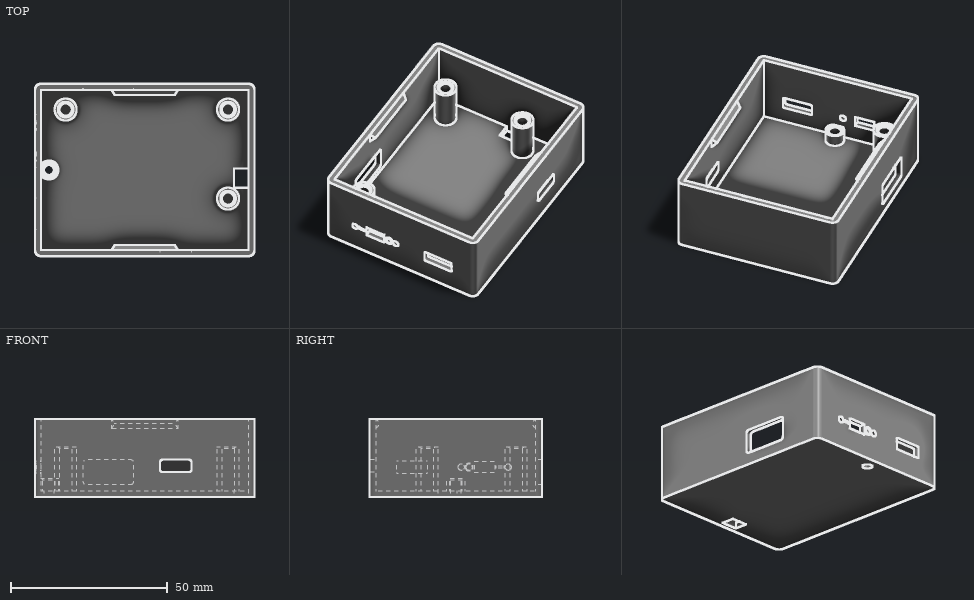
import cadquery as cq

length = 70.0
width = 55.0
height = 25.0
wall = 2.0
floor = 2.0
corner_radius = 2.0

inner_length = length - 2 * wall
inner_width = width - 2 * wall
inner_x = inner_length / 2
inner_y = inner_width / 2

post_diameter = 7.0
post_top = 16.0
left_post_x = -25.2
right_post_x = 26.5
back_post_y = 19.25
front_post_y = -9.1
post_places = [
    (left_post_x, back_post_y),
    (right_post_x, back_post_y),
    (right_post_x, front_post_y),
]
bore_diameter = 4.0
bore_chamfer = 0.5

boss_diameter = 6.0
boss_top = 6.0
boss_place = (-30.5, 0)
screw_hole_diameter = 3.2

ridge_length = 21.15
ridge_depth = 1.55
ridge_height = 2 * ridge_depth
ridge_end_taper = 1.0

window_top = 12.0
front_window_length = 10.15
front_window_height = 4.0
front_window_x = 9.9
front_window_radius = 1.0
back_window_length = 16.0
back_window_height = 8.0
back_window_right = -3.6
back_window_radius = 1.0

end_opening_z = 9.6
charge_length = 10.0
charge_height = 4.0
charge_y = -13.9
charge_radius = 0.5
switch_length = 6.6
switch_height = 3.5
switch_y = 9.25
switch_screw_diameter = 2.0
switch_screw_spacing = 15.0

engraving_depth = 0.5
ring_outer_diameter = 2.6
ring_inner_diameter = 2.0
ring_y = 4.3
bar_length = 2.6
bar_height = 0.55
bar_y = 14.1

floor_slot_length = 4.5
floor_slot_width = 6.0
floor_slot_y = -2.6


def make_shell():
    body = cq.Workplane("XY").box(length, width, height, centered=(True, True, False))
    body = body.edges("|Z").fillet(corner_radius)
    cavity = cq.Workplane("XY").workplane(offset=floor).rect(inner_length, inner_width).extrude(height)
    return body.cut(cavity)


def make_pillar(place, diameter, top):
    """Cylinder on the floor with a chamfered bore that stops at the floor surface."""
    pillar = cq.Workplane("XY", origin=(*place, 0)).circle(diameter / 2).extrude(top)
    bore = cq.Workplane("XY", origin=(*place, floor)).circle(bore_diameter / 2).extrude(top - floor)
    mouth = (
        cq.Workplane("XY", origin=(*place, top - bore_chamfer))
        .circle(bore_diameter / 2)
        .workplane(offset=bore_chamfer)
        .circle(bore_diameter / 2 + bore_chamfer)
        .loft()
    )
    return pillar.cut(bore).cut(mouth)


def make_back_ridge():
    """Triangular ridge on the back wall whose ends taper towards its tip."""
    tip_y = inner_y - ridge_depth
    profile = (
        cq.Workplane("YZ", origin=(-ridge_length / 2, 0, 0))
        .moveTo(inner_y, height)
        .lineTo(tip_y, height - ridge_height / 2)
        .lineTo(inner_y, height - ridge_height)
        .close()
        .extrude(ridge_length)
    )
    half_base = ridge_length / 2
    half_tip = half_base - ridge_end_taper
    plan = (
        cq.Workplane("XY")
        .polyline([(-half_base, inner_y), (half_base, inner_y), (half_tip, tip_y), (-half_tip, tip_y)])
        .close()
        .extrude(height)
    )
    return profile.intersect(plan)


def long_wall_window(x, y, size_x, size_z, radius):
    """Cutter with rounded corners through a long wall whose middle is at y."""
    cutter = cq.Workplane("XY").box(size_x, 2 * wall, size_z).edges("|Y").fillet(radius)
    return cutter.translate((x, y, window_top - size_z / 2))


def end_wall_block(y, size_y, size_z, depth):
    """Rectangular cutter going inwards from the left end face."""
    block = cq.Workplane("XY").box(depth, size_y, size_z)
    return block.translate((depth / 2 - length / 2, y, end_opening_z))


def end_wall_cylinder(y, diameter, depth):
    """Round cutter going inwards from the left end face."""
    start = (-length / 2, y, end_opening_z)
    return cq.Workplane("YZ", origin=start).circle(diameter / 2).extrude(depth)


result = make_shell()

for post_place in post_places:
    result = result.union(make_pillar(post_place, post_diameter, post_top))

inside = cq.Workplane("XY").box(inner_length, inner_width, height, centered=(True, True, False))
result = result.union(make_pillar(boss_place, boss_diameter, boss_top).intersect(inside))
screw_hole = cq.Workplane("XY", origin=(*boss_place, 0)).circle(screw_hole_diameter / 2).extrude(boss_top)
result = result.cut(screw_hole)

back_ridge = make_back_ridge()
result = result.union(back_ridge).union(back_ridge.mirror("XZ"))

wall_middle_y = (width - wall) / 2
back_window_x = back_window_right - back_window_length / 2
result = result.cut(
    long_wall_window(
        front_window_x, -wall_middle_y, front_window_length, front_window_height, front_window_radius
    )
)
result = result.cut(
    long_wall_window(back_window_x, wall_middle_y, back_window_length, back_window_height, back_window_radius)
)

charge_opening = end_wall_block(charge_y, charge_length, charge_height, wall)
result = result.cut(charge_opening.edges("|X").fillet(charge_radius))
result = result.cut(end_wall_block(switch_y, switch_length, switch_height, wall))
for side in (-1, 1):
    screw_y = switch_y + side * switch_screw_spacing / 2
    result = result.cut(end_wall_cylinder(screw_y, switch_screw_diameter, wall))

ring = end_wall_cylinder(ring_y, ring_outer_diameter, engraving_depth)
ring = ring.cut(end_wall_cylinder(ring_y, ring_inner_diameter, engraving_depth))
result = result.cut(ring)
result = result.cut(end_wall_block(bar_y, bar_length, bar_height, engraving_depth))

floor_slot = cq.Workplane("XY").box(floor_slot_length, floor_slot_width, 2 * floor)
result = result.cut(floor_slot.translate((inner_x - floor_slot_length / 2, floor_slot_y, 0)))